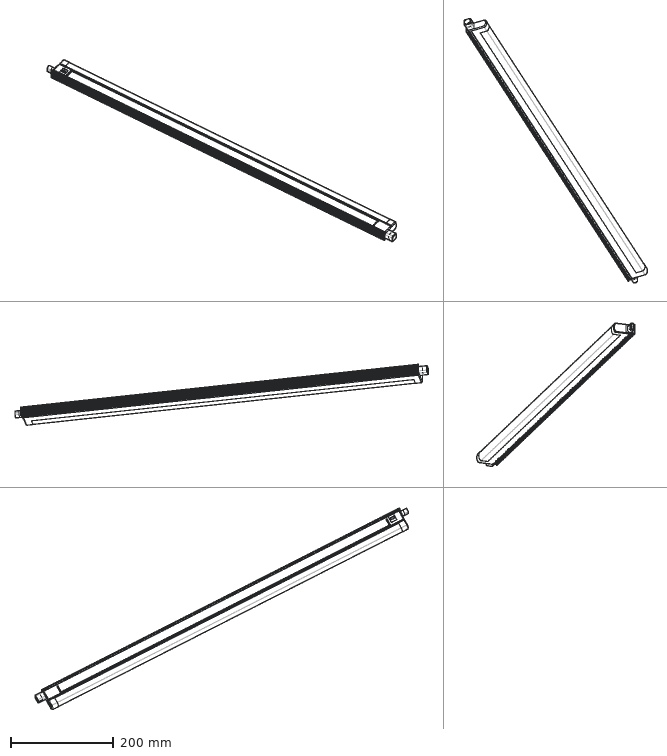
import cadquery as cq

total_length = 823.0
total_depth = 43.0
total_height = 21.0

button_height = 1.5
body_height = total_height - button_height
mid_z = body_height / 2
plug_length = 12.5
socket_length = 17.0
rail_start = plug_length
rail_overhang = 2.5
body_start = rail_start + rail_overhang
body_end = total_length - socket_length
cap_length = 14.0
lens_crown = 5.0
start_bevel = 1.6
end_bevel = 2.0
cap_gap = 0.3

flange_thickness = 1.5
neck_end = 4.5
neck_inset = 2.0
foot_groove_y = 5.5
foot_groove_width = 4.0
foot_groove_depth = 2.5

rib_groove_count = 7
rib_pitch = 2.5
rib_groove_width = 1.25
rib_groove_depth = 0.8

seam_start = 24.0
seam_end = 26.5
seam_depth = 3.0
cap_seam_depth = 0.6
seam_ledge_depth = 1.0
cover_front = 8.0
cover_back = 22.0
holder_length = 29.5
holder_gap = 2.0
holder_gap_depth = 3.0

switch_x = 34.5
switch_y = 12.0
switch_length = 8.5
switch_width = 4.0
bezel_length = 12.0
bezel_width = 14.0
bezel_depth = 0.6

connector_y = 9.8
plug_width = 9.7
plug_height = 14.7
plug_wall = 2.2
plug_recess_depth = 8.0
plug_plate_thickness = 1.3
plug_plate_depth = 13.0
plug_plate_height = 15.5
socket_size = 14.7
socket_corner = 3.0
socket_bore = 12.0
socket_bore_depth = 10.0
socket_chamfer = 1.0


def block(x0, x1, y0, y1, z0, z1):
    """Axis-aligned box between two opposite corners."""
    return cq.Workplane("XY").box(x1 - x0, y1 - y0, z1 - z0, centered=False).translate((x0, y0, z0))


def lens_bar(start, end, inset):
    """Bar whose back face is half an ellipse."""
    shoulder = total_depth - lens_crown
    return (
        cq.Workplane("YZ", origin=(start, 0, 0))
        .moveTo(neck_end, inset)
        .lineTo(shoulder, inset)
        .lineTo(shoulder, body_height - inset)
        .lineTo(neck_end, body_height - inset)
        .close()
        .extrude(end - start)
        .union(
            cq.Workplane("YZ", origin=(start, shoulder, mid_z))
            .ellipseArc(lens_crown - inset, mid_z - inset, -90, 90, startAtCurrent=False)
            .close()
            .extrude(end - start)
        )
    )


def make_body():
    """Lens with its two slightly larger end caps, and the flanged front rail."""
    start_cap = lens_bar(body_start, body_start + cap_length, 0)
    start_cap = start_cap.faces("<X").edges("not <Y").chamfer(start_bevel)
    end_cap = lens_bar(body_end - cap_length, body_end, 0)
    end_cap = end_cap.faces(">X").edges("not <Y").chamfer(end_bevel)
    lens_start = body_start + cap_length
    lens_end = body_end - cap_length
    body = start_cap.union(end_cap).union(lens_bar(lens_start, lens_end, cap_gap))
    body = body.union(block(lens_start, lens_end, neck_end, seam_start, 0, body_height))
    body = body.union(block(rail_start, body_end, 0, neck_end, neck_inset, body_height - neck_inset))
    return body.union(block(rail_start, body_end, 0, flange_thickness, 0, body_height))


def cut_grooves(body):
    """Foot groove, lens seam, and the gaps between cover and end holders."""
    body = body.cut(
        block(body_start, body_end, foot_groove_y, foot_groove_y + foot_groove_width, 0, foot_groove_depth)
    )
    body = body.cut(block(body_start + cap_length, body_end - cap_length, seam_start, seam_end,
                          body_height - seam_depth, body_height))
    body = body.cut(block(body_start, body_end, seam_start, seam_end, body_height - cap_seam_depth, body_height))
    cover_start = body_start + holder_length
    cover_end = body_end - holder_length
    body = body.cut(block(cover_start, cover_end, cover_back, seam_start,
                          body_height - seam_ledge_depth, body_height))
    for gap_start in (cover_start, cover_end - holder_gap):
        body = body.cut(block(gap_start, gap_start + holder_gap, cover_front, cover_back,
                              body_height - holder_gap_depth, body_height))
    return body


def cut_ribs(body):
    """Evenly spaced lengthwise grooves that leave ribs on the flange face."""
    for index in range(rib_groove_count):
        center = mid_z + (index - (rib_groove_count - 1) / 2) * rib_pitch
        body = body.cut(block(rail_start, body_end, 0, rib_groove_depth,
                              center - rib_groove_width / 2, center + rib_groove_width / 2))
    return body


def add_switch(body):
    """Rocker standing in a shallow bezel recess."""
    bezel = cq.Workplane("XY").box(bezel_length, bezel_width, bezel_depth, centered=(True, True, False))
    body = body.cut(bezel.translate((switch_x, switch_y, body_height - bezel_depth)))
    rocker = cq.Workplane("XY").box(
        switch_length, switch_width, bezel_depth + button_height, centered=(True, True, False)
    )
    return body.union(rocker.translate((switch_x, switch_y, body_height - bezel_depth)))


def make_plug():
    """Hollow plug with rounded top and bottom, standing on a thin plate."""
    section = cq.Workplane("YZ", origin=(0, connector_y, mid_z))
    plug = section.slot2D(plug_height, plug_width, 90).extrude(body_start)
    recess = section.slot2D(plug_height - 2 * plug_wall, plug_width - 2 * plug_wall, 90)
    plate = block(body_start - plug_plate_thickness, body_start, neck_end, neck_end + plug_plate_depth,
                  mid_z - plug_plate_height / 2, mid_z + plug_plate_height / 2)
    return plug.union(plate).cut(recess.extrude(plug_recess_depth))


def make_socket():
    """Rounded square socket with a chamfered rim and a blind bore."""
    socket = (
        cq.Workplane("YZ", origin=(body_end, connector_y, mid_z))
        .rect(socket_size, socket_size)
        .extrude(socket_length)
        .edges("|X")
        .fillet(socket_corner)
        .faces(">X")
        .chamfer(socket_chamfer)
    )
    bore = (
        cq.Workplane("YZ", origin=(total_length - socket_bore_depth, connector_y, mid_z))
        .circle(socket_bore / 2)
        .extrude(socket_bore_depth)
    )
    return socket.cut(bore)


result = add_switch(cut_ribs(cut_grooves(make_body()))).union(make_plug()).union(make_socket())